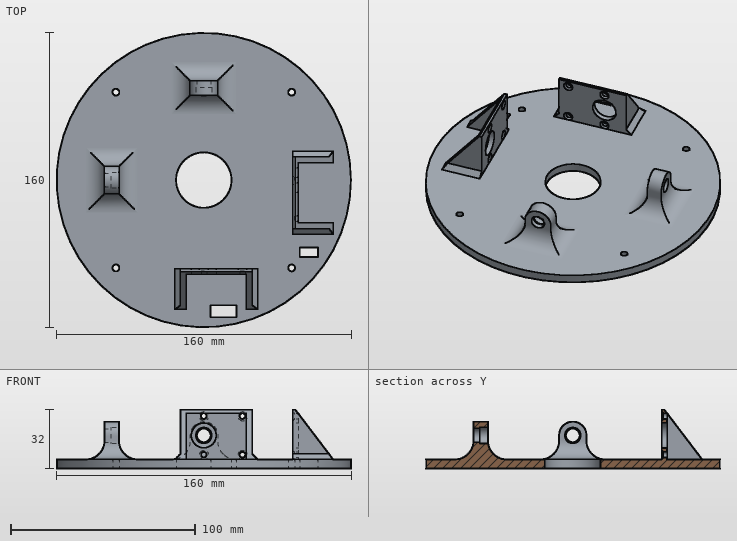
import cadquery as cq
import math

DISC_DIAMETER = 160.0
DISC_THICKNESS = 5.0
CENTRE_HOLE_DIAMETER = 30.0
SCREW_HOLE_DIAMETER = 3.6
SCREW_CIRCLE_RADIUS = 67.5
SCREW_COUNT = 4

AXIS_HEIGHT = 18.0

BLOCK_DISTANCE = 50.0
BLOCK_THICKNESS = 8.0
BLOCK_RADIUS = 7.5
FLARE_RADIUS = 10.0
BORE_DIAMETER = 7.4
BEARING_SEAT_DIAMETER = 8.6
BEARING_SEAT_DEPTH = 4.5

BRACKET_DISTANCE = 48.25
BRACKET_DEPTH = 22.0
BRACKET_HEIGHT = 27.0
BRACKET_BACK_WALL = 3.0
BRACKET_WIDTH = 39.0
BRACKET_TOP_EDGE = 1.5
BRACKET_INNER_WIDTH = 32.6
BRACKET_OFFSET = 6.85
FOOT_CHAMFER = 3.0
SHAFT_OPENING_DIAMETER = 13.5
MOTOR_SCREW_SPACING = 21.0
MOTOR_SCREW_DIAMETER = 3.0
MOTOR_HEAD_DIAMETER = 5.0
MOTOR_HEAD_DEPTH = 1.0

FRONT_SLOT_SIZE = (14.0, 6.3)
FRONT_SLOT_CENTRE = (10.75, -71.25)
SIDE_SLOT_SIZE = (9.8, 5.0)
SIDE_SLOT_CENTRE = (57.1, -39.25)

JOIN_DEPTH = 1.0


def make_disc():
    """Round base with its centre hole and the four mounting holes."""
    disc = cq.Workplane("XY").circle(DISC_DIAMETER / 2).extrude(DISC_THICKNESS)
    disc = disc.faces(">Z").workplane().hole(CENTRE_HOLE_DIAMETER)
    return (
        disc.faces(">Z")
        .workplane()
        .polarArray(SCREW_CIRCLE_RADIUS, 180 / SCREW_COUNT, 360, SCREW_COUNT)
        .hole(SCREW_HOLE_DIAMETER)
    )


def cylinder_along_y(diameter, length, x, y_start, z):
    """Cylinder whose axis runs along +Y from the given start point."""
    return cq.Workplane(cq.Solid.makeCylinder(
        diameter / 2, length, cq.Vector(x, y_start, z), cq.Vector(0, 1, 0)))


def countersink(x, y_face, z):
    """Cone that narrows from the screw head to the screw shank, running along -Y from the face."""
    return cq.Workplane(cq.Solid.makeCone(
        MOTOR_HEAD_DIAMETER / 2, MOTOR_SCREW_DIAMETER / 2, MOTOR_HEAD_DEPTH,
        cq.Vector(x, y_face, z), cq.Vector(0, -1, 0)))


def flared_outline(plane, half_width):
    """Closed foot profile: vertical sides flaring out to the disc through quarter arcs."""
    bottom = DISC_THICKNESS
    flare_top = bottom + FLARE_RADIUS
    foot = half_width + FLARE_RADIUS
    arc_x = foot - FLARE_RADIUS * math.sin(math.pi / 4)
    arc_z = flare_top - FLARE_RADIUS * math.cos(math.pi / 4)
    return (
        cq.Workplane(plane)
        .moveTo(-foot, bottom - JOIN_DEPTH)
        .lineTo(-foot, bottom)
        .threePointArc((-arc_x, arc_z), (-half_width, flare_top))
        .lineTo(-half_width, AXIS_HEIGHT)
        .lineTo(half_width, AXIS_HEIGHT)
        .lineTo(half_width, flare_top)
        .threePointArc((arc_x, arc_z), (foot, bottom))
        .lineTo(foot, bottom - JOIN_DEPTH)
        .close()
    )


def make_bearing_block():
    """Bearing block on the +Y side; the wider bearing seat faces the disc centre."""
    foot_length = 2 * (BLOCK_RADIUS + FLARE_RADIUS)
    foot_depth = BLOCK_THICKNESS + 2 * FLARE_RADIUS
    inner_face = -BLOCK_THICKNESS / 2

    across = flared_outline("XZ", BLOCK_RADIUS).extrude(foot_depth / 2, both=True)
    along = flared_outline("YZ", BLOCK_THICKNESS / 2).extrude(foot_length / 2, both=True)
    block = across.intersect(along)

    block = block.union(
        cylinder_along_y(2 * BLOCK_RADIUS, BLOCK_THICKNESS, 0, inner_face, AXIS_HEIGHT))
    block = block.cut(
        cylinder_along_y(BORE_DIAMETER, foot_depth, 0, -foot_depth / 2, AXIS_HEIGHT))
    seat_start = -foot_depth / 2
    seat_length = inner_face + BEARING_SEAT_DEPTH - seat_start
    block = block.cut(
        cylinder_along_y(BEARING_SEAT_DIAMETER, seat_length, 0, seat_start, AXIS_HEIGHT))
    return block.translate((0, BLOCK_DISTANCE, 0))


def make_motor_bracket():
    """Motor bracket on the -Y side, its plate facing the disc centre."""
    back = -BRACKET_DISTANCE
    front = back - BRACKET_DEPTH
    bottom = DISC_THICKNESS
    top = bottom + BRACKET_HEIGHT
    half_width = BRACKET_WIDTH / 2
    half_foot = half_width + FOOT_CHAMFER

    body = (
        cq.Workplane("XZ", origin=(BRACKET_OFFSET, back, 0))
        .polyline([
            (-half_foot, bottom - JOIN_DEPTH),
            (-half_foot, bottom),
            (-half_width, bottom + FOOT_CHAMFER),
            (-half_width, top),
            (half_width, top),
            (half_width, bottom + FOOT_CHAMFER),
            (half_foot, bottom),
            (half_foot, bottom - JOIN_DEPTH),
        ])
        .close()
        .extrude(BRACKET_DEPTH)
    )

    side = (
        cq.Workplane("YZ", origin=(BRACKET_OFFSET, 0, 0))
        .polyline([
            (back, bottom - JOIN_DEPTH),
            (back, top),
            (back - BRACKET_TOP_EDGE, top),
            (front, bottom),
            (front, bottom - JOIN_DEPTH),
        ])
        .close()
        .extrude(half_foot, both=True)
    )
    body = body.intersect(side)

    motor_space = cq.Workplane("XY").box(
        BRACKET_INNER_WIDTH, BRACKET_DEPTH, BRACKET_HEIGHT, centered=(True, False, False))
    body = body.cut(motor_space.translate((BRACKET_OFFSET, front - BRACKET_BACK_WALL, bottom)))

    plate_front = back - BRACKET_BACK_WALL
    body = body.cut(
        cylinder_along_y(SHAFT_OPENING_DIAMETER, BRACKET_BACK_WALL, 0, plate_front, AXIS_HEIGHT))
    for x in (0, MOTOR_SCREW_SPACING):
        for z_step in (-MOTOR_SCREW_SPACING / 2, MOTOR_SCREW_SPACING / 2):
            z = AXIS_HEIGHT + z_step
            body = body.cut(
                cylinder_along_y(MOTOR_SCREW_DIAMETER, BRACKET_BACK_WALL, x, plate_front, z))
            body = body.cut(countersink(x, back, z))
    return body


def mirror_across_diagonal(body):
    """Mirror across the vertical plane y = -x, which swaps the -Y side with the +X side."""
    return body.mirror("XZ").rotate((0, 0, 0), (0, 0, 1), -90)


def make_slot(size, centre):
    """Rectangular cutter through the disc."""
    return cq.Workplane("XY").center(*centre).rect(*size).extrude(DISC_THICKNESS)


bearing_block = make_bearing_block()
motor_bracket = make_motor_bracket()

result = make_disc()
for body in (bearing_block, motor_bracket):
    result = result.union(body).union(mirror_across_diagonal(body))
result = result.cut(make_slot(FRONT_SLOT_SIZE, FRONT_SLOT_CENTRE))
result = result.cut(make_slot(SIDE_SLOT_SIZE, SIDE_SLOT_CENTRE))